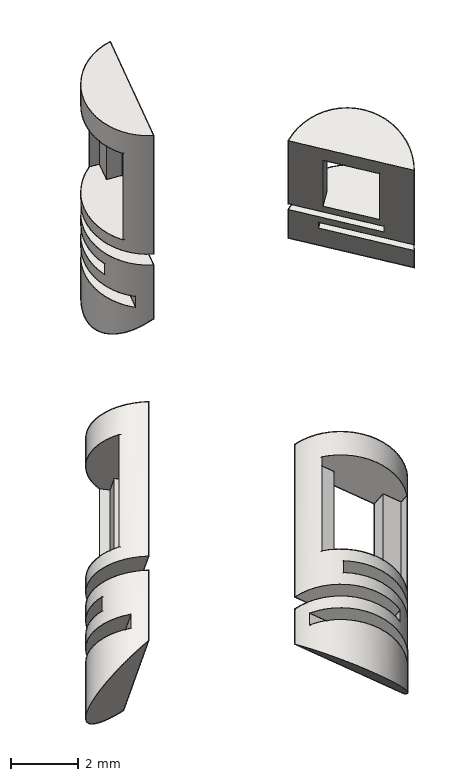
import cadquery as cq
import math

height = 10.0
radius = 2.0
flat_y = -0.5
front_y = -radius
depth = flat_y - front_y
half_width = math.sqrt(radius**2 - flat_y**2)

window_bottom = 5.0
window_height = 4.0
recess_width = 3.0
opening_width = 1.73
ledge_y = -1.0

slot_height = 0.5
slot_end_x = 1.0
right_slot_bottom = 4.0
left_slot_bottom = 3.0

groove_bottom = 2.0
groove_height = 0.5
groove_floor_y = -1.0


def make_body():
    return (
        cq.Workplane("XY")
        .moveTo(-half_width, flat_y)
        .threePointArc((0, front_y), (half_width, flat_y))
        .close()
        .extrude(height)
    )


def make_block(x_range, y_range, bottom, block_height):
    """Box between two X and two Y limits, standing on the level `bottom`."""
    x_start, x_end = x_range
    y_start, y_end = y_range
    return cq.Workplane("XY").box(
        x_end - x_start, y_end - y_start, block_height, centered=False
    ).translate((x_start, y_start, bottom))


def make_window():
    recess = make_block(
        (-recess_width / 2, recess_width / 2), (front_y, ledge_y), window_bottom, window_height
    )
    opening = make_block(
        (-opening_width / 2, opening_width / 2), (front_y, flat_y), window_bottom, window_height
    )
    return recess.union(opening)


def make_side_slots():
    through_y = (front_y, flat_y)
    right_slot = make_block((-slot_end_x, radius), through_y, right_slot_bottom, slot_height)
    left_slot = make_block((-radius, slot_end_x), through_y, left_slot_bottom, slot_height)
    return right_slot.union(left_slot)


def make_groove():
    return make_block((-radius, radius), (front_y, groove_floor_y), groove_bottom, groove_height)


def make_tip_bevel():
    """Wedge that slopes the lower end at 45 degrees, down to the front edge."""
    return (
        cq.Workplane("YZ")
        .polyline([(front_y, 0), (flat_y, 0), (flat_y, depth)])
        .close()
        .extrude(radius, both=True)
    )


result = (
    make_body()
    .cut(make_window())
    .cut(make_side_slots())
    .cut(make_groove())
    .cut(make_tip_bevel())
)